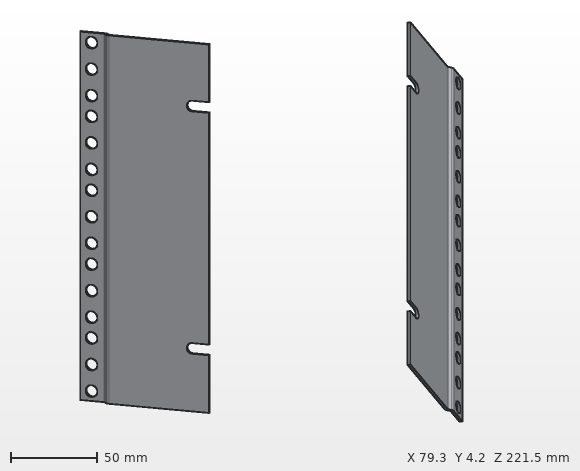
import cadquery as cq
import math

width = 79.3
depth = 4.2
height = 221.5

thickness = 1.8
bend_angle = 45.0
inner_radius = 1.0
strip_flat_width = 14.5

hole_diameter = 7.0
hole_edge_distance = 6.9
hole_pitch = 16.0
hole_end_distance = 6.0
unit_count = 5

slot_width = 6.5
slot_length = 13.5

rack_unit = (height - 2 * (hole_end_distance + hole_pitch)) / (unit_count - 1)
outer_radius = inner_radius + thickness
left = -width / 2
right = width / 2
front = -depth / 2
back = depth / 2
joggle_offset = depth - thickness


def arc_point(center, radius, degrees):
    """Point on a circle in the XY plane."""
    angle = math.radians(degrees)
    return (center[0] + radius * math.cos(angle), center[1] + radius * math.sin(angle))


def make_plate():
    """Bent sheet profile in XY, extruded over the full height."""
    sine = math.sin(math.radians(bend_angle))
    cosine = math.cos(math.radians(bend_angle))
    ramp_drop = joggle_offset - (inner_radius + outer_radius) * (1 - cosine)
    ramp_run = ramp_drop * cosine / sine

    strip_end = left + strip_flat_width
    panel_start = strip_end + (inner_radius + outer_radius) * sine + ramp_run
    strip_bend = (strip_end, back - outer_radius)
    panel_bend = (panel_start, front + outer_radius)

    strip_mid = 90 - bend_angle / 2
    strip_ramp = 90 - bend_angle
    panel_mid = 270 - bend_angle / 2
    panel_ramp = 270 - bend_angle

    profile = (
        cq.Workplane("XY", origin=(0, 0, -height / 2))
        .moveTo(left, back)
        .lineTo(strip_end, back)
        .threePointArc(
            arc_point(strip_bend, outer_radius, strip_mid),
            arc_point(strip_bend, outer_radius, strip_ramp),
        )
        .lineTo(*arc_point(panel_bend, inner_radius, panel_ramp))
        .threePointArc(
            arc_point(panel_bend, inner_radius, panel_mid),
            (panel_start, front + thickness),
        )
        .lineTo(right, front + thickness)
        .lineTo(right, front)
        .lineTo(panel_start, front)
        .threePointArc(
            arc_point(panel_bend, outer_radius, panel_mid),
            arc_point(panel_bend, outer_radius, panel_ramp),
        )
        .lineTo(*arc_point(strip_bend, inner_radius, strip_ramp))
        .threePointArc(
            arc_point(strip_bend, inner_radius, strip_mid),
            (strip_end, back - thickness),
        )
        .lineTo(left, back - thickness)
        .close()
    )
    return profile.extrude(height)


def make_holes():
    """Cutters for the rack holes, three per unit and symmetric about mid-height."""
    positions = []
    for unit in range(unit_count):
        unit_center = (unit - (unit_count - 1) / 2) * rack_unit
        for step in (-1, 0, 1):
            positions.append((left + hole_edge_distance, unit_center + step * hole_pitch))
    return (
        cq.Workplane("XZ")
        .pushPoints(positions)
        .circle(hole_diameter / 2)
        .extrude(depth, both=True)
    )


def make_slots():
    """Cutters for the round-ended slots, centred on the right edge so that they open there."""
    end_unit_center = (unit_count - 1) / 2 * rack_unit
    slot_height = end_unit_center - hole_pitch
    return (
        cq.Workplane("XZ")
        .pushPoints([(right, slot_height), (right, -slot_height)])
        .slot2D(2 * slot_length, slot_width)
        .extrude(depth, both=True)
    )


result = make_plate().cut(make_holes()).cut(make_slots())